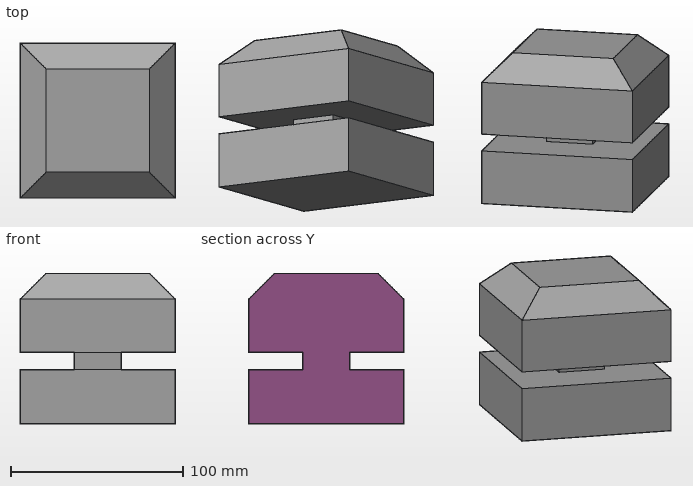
import cadquery as cq

side = 90.0
total_height = 87.5

base_height = 31.5
neck_height = 10.0
neck_side = 27.5
top_chamfer = 15.0
cap_bottom = base_height + neck_height
cap_height = total_height - cap_bottom


def square_block(width, height, bottom):
    """Square block centred on the Z axis, standing at the given height."""
    return cq.Workplane("XY").workplane(offset=bottom).rect(width, width).extrude(height)


base = square_block(side, base_height, 0)
neck = square_block(neck_side, neck_height, base_height)
cap = square_block(side, cap_height, cap_bottom).faces(">Z").chamfer(top_chamfer)

result = base.union(neck).union(cap)